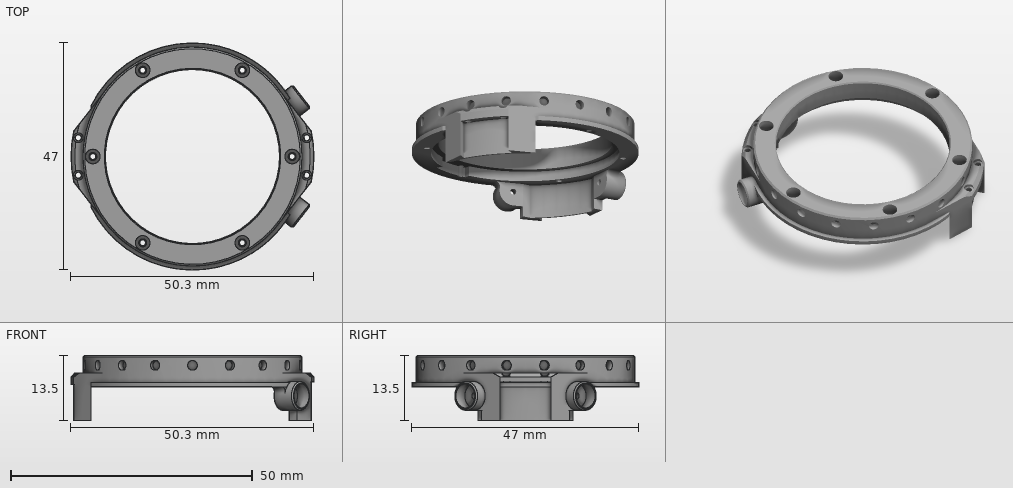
import cadquery as cq
import math

flange_bottom = 7.0
flange_top = 7.9
tab_top = 9.9
total_height = 13.5

ring_radius = 45.3 / 2
flange_radius = 46.95 / 2
bore_radius = 36.0 / 2
recess_radius = 39.05 / 2
recess_top = 9.05
rim_chamfer = 0.35
bore_chamfer = 0.25

pocket_radius = 20.85
pocket_start_angle = 56.6
pocket_end_angle = 81.4

screw_count = 6
screw_circle_radius = 20.6
screw_head_diameter = 3.0
screw_head_depth = 3.25
screw_seat_diameter = 1.65
screw_seat_depth = 0.5
screw_hole_diameter = 1.2

grip_hole_count = 18
grip_hole_diameter = 2.0
grip_hole_depth = 1.5
grip_hole_height = 11.45
grip_hole_first_angle = 10.0

tab_radius = 25.15
tab_chamfer_width = 0.8
tab_chamfer_height = 0.9
flank_angle = 38.0
flank_distance = 22.59
flank_back_distance = 20.55
leg_inner_radius = 22.6
groove_radius = 23.1
left_groove_top = 7.45
right_groove_top = 8.05
left_leg_inner_x = 20.95
right_leg_end = -6.15
right_wall_start_angle = 17.2
tab_hole_x = 23.6
tab_hole_y = 3.85
tab_hole_diameter = 1.25
tab_counterbore_diameter = 2.0
tab_counterbore_depth = 0.6

boss_diameter = 6.0
boss_offset = -4.05
boss_height = 5.15
boss_tip = 25.45
boss_chamfer = 0.3
boss_bore_diameter = 5.0
boss_bore_depth = 3.0
boss_pin_diameter = 1.25
boss_fillet = 1.0
neck_setback = 0.05

boss_radius = boss_diameter / 2
flank_cos = math.cos(math.radians(flank_angle))
flank_sin = math.sin(math.radians(flank_angle))


def flank_point(distance, along):
    """XY point in the frame of the +X +Y flank: distance out along its normal, then along its face."""
    return (distance * flank_cos - along * flank_sin, distance * flank_sin + along * flank_cos)


def mirrored_y(point):
    return (point[0], -point[1])


def disc(radius, bottom, top):
    return cq.Workplane("XY").workplane(offset=bottom).circle(radius).extrude(top - bottom)


def block(x_min, x_max, y_min, y_max, z_min, z_max):
    size = (x_max - x_min, y_max - y_min, z_max - z_min)
    return cq.Workplane("XY").box(*size, centered=False).translate((x_min, y_min, z_min))


def in_flank_frame(solid):
    """Turn a solid built with X as the flank normal into its place on the +X +Y flank."""
    return solid.rotate((0, 0, 0), (0, 0, 1), flank_angle)


def both_sides(solid):
    return solid.union(solid.mirror("XZ"))


tab_corner = flank_point(flank_distance, -math.sqrt(tab_radius**2 - flank_distance**2))
tab_half_width = tab_corner[1]
flank_root = flank_point(flank_distance, 0)


def tab_blank(bottom, top):
    """Tab outline on the +X side: two slanted flanks joined by an arc around the ring axis."""
    return (
        cq.Workplane("XY").workplane(offset=bottom)
        .moveTo(*flank_root)
        .lineTo(*tab_corner)
        .threePointArc((tab_radius, 0), mirrored_y(tab_corner))
        .lineTo(*mirrored_y(flank_root))
        .close()
        .extrude(top - bottom)
    )


def tab_cone():
    """Revolved envelope that bevels the top outer edge of the tab."""
    return (
        disc(tab_radius, 0, tab_top)
        .faces(">Z").edges()
        .chamfer(tab_chamfer_height, tab_chamfer_width)
    )


def groove(top):
    """Strap groove between the two halves of a leg, under the tab."""
    slot = block(0, tab_radius + 0.5, -tab_half_width, tab_half_width, 0, top)
    return slot.cut(disc(groove_radius, 0, top))


def tab_holes():
    centers = [(tab_hole_x, tab_hole_y), (tab_hole_x, -tab_hole_y)]
    holes = cq.Workplane("XY").pushPoints(centers).circle(tab_hole_diameter / 2).extrude(tab_top)
    counterbores = (
        cq.Workplane("XY").workplane(offset=tab_top - tab_counterbore_depth)
        .pushPoints(centers).circle(tab_counterbore_diameter / 2).extrude(tab_counterbore_depth)
    )
    return holes.union(counterbores).cut(disc(ring_radius, 0, tab_top))


def right_leg():
    """Curved wall on the +X side whose ends are thickened behind the flanks."""
    end_outer = flank_point(flank_distance, right_leg_end)
    end_inner = flank_point(flank_back_distance, right_leg_end)
    wall_angle = math.radians(right_wall_start_angle)
    wall_start = (leg_inner_radius * math.cos(wall_angle), leg_inner_radius * math.sin(wall_angle))
    return (
        cq.Workplane("XY")
        .moveTo(*end_outer)
        .lineTo(*end_inner)
        .lineTo(*wall_start)
        .threePointArc((leg_inner_radius, 0), mirrored_y(wall_start))
        .lineTo(*mirrored_y(end_inner))
        .lineTo(*mirrored_y(end_outer))
        .lineTo(*mirrored_y(tab_corner))
        .threePointArc((tab_radius, 0), tab_corner)
        .close()
        .extrude(flange_top)
    )


def left_leg():
    """Curved wall for the -X side, built on the +X side and mirrored later."""
    beyond = block(left_leg_inner_x, tab_radius, -tab_radius, tab_radius, 0, flange_top)
    return tab_blank(0, flange_top).intersect(beyond).cut(disc(leg_inner_radius, 0, flange_bottom))


def tab_with_leg(leg, groove_top):
    solid = tab_blank(flange_bottom, tab_top).union(leg).intersect(tab_cone())
    return solid.cut(groove(groove_top)).cut(tab_holes())


def flange():
    """Thin outer flange, trimmed flush with the -X leg and the +X flanks."""
    rim = disc(flange_radius, flange_bottom, flange_top)
    left_trim = block(-tab_radius, -left_leg_inner_x, -tab_radius, tab_radius, 0, total_height)
    right_trim = in_flank_frame(
        block(flank_distance, tab_radius, -tab_radius, boss_offset, 0, total_height)
    )
    return rim.cut(left_trim).cut(both_sides(right_trim))


def boss():
    """Pusher boss with its flat-backed housing, along the normal of the +X +Y flank."""
    barrel = (
        cq.Workplane("YZ", origin=(flank_back_distance, boss_offset, boss_height))
        .circle(boss_radius)
        .extrude(boss_tip - flank_back_distance)
        .faces(">X").edges().chamfer(boss_chamfer)
    )
    barrel = barrel.cut(
        block(0, flank_distance, -tab_radius, right_leg_end, 0, total_height)
    )
    housing = block(
        flank_back_distance, flank_distance, right_leg_end, boss_offset,
        boss_height - boss_radius, flange_top,
    )
    fillet_rise = flange_bottom - boss_fillet - boss_height
    fillet_reach = math.sqrt((boss_radius + boss_fillet) ** 2 - fillet_rise**2)
    blend = boss_radius / (boss_radius + boss_fillet)
    neck = (
        cq.Workplane("YZ", origin=(flank_back_distance, 0, 0))
        .moveTo(boss_offset, boss_height)
        .lineTo(boss_offset + fillet_reach * blend, boss_height + fillet_rise * blend)
        .radiusArc((boss_offset + fillet_reach, flange_bottom), boss_fillet)
        .lineTo(boss_offset, flange_bottom)
        .close()
        .extrude(boss_tip - flank_back_distance)
        .intersect(disc(flange_radius - neck_setback, 0, flange_bottom))
    )
    return in_flank_frame(barrel.union(housing).union(neck))


def boss_bore():
    face = cq.Workplane("YZ", origin=(boss_tip, boss_offset, boss_height))
    bore = face.circle(boss_bore_diameter / 2).extrude(-boss_bore_depth)
    pin_hole = face.circle(boss_pin_diameter / 2).extrude(flank_back_distance - boss_tip)
    return in_flank_frame(bore.union(pin_hole))


def ring():
    return disc(ring_radius, flange_bottom, total_height).faces(">Z").edges().chamfer(rim_chamfer)


def ring_bore():
    bore = disc(bore_radius, flange_bottom, total_height)
    recess = disc(recess_radius, flange_bottom, recess_top)
    lead_in = (
        cq.Workplane("XY").workplane(offset=total_height)
        .circle(bore_radius + bore_chamfer)
        .workplane(offset=-bore_chamfer)
        .circle(bore_radius)
        .loft()
    )
    return bore.union(recess).union(lead_in)


def recess_pocket():
    """Arc-shaped pocket that widens the lower recess on its +Y side."""
    sweep = pocket_end_angle - pocket_start_angle
    return (
        cq.Workplane("XZ")
        .moveTo(bore_radius, flange_bottom)
        .lineTo(pocket_radius, flange_bottom)
        .lineTo(pocket_radius, recess_top)
        .lineTo(bore_radius, recess_top)
        .close()
        .revolve(sweep, (0, 0, 0), (0, 1, 0))
        .rotate((0, 0, 0), (0, 0, 1), pocket_start_angle)
    )


def screw_holes():
    top = cq.Workplane("XY").workplane(offset=total_height)
    top = top.polarArray(screw_circle_radius, 0, 360, screw_count)
    heads = top.circle(screw_head_diameter / 2).extrude(-screw_head_depth)
    seats = top.circle(screw_seat_diameter / 2).extrude(-screw_head_depth - screw_seat_depth)
    holes = top.circle(screw_hole_diameter / 2).extrude(flange_bottom - total_height)
    return heads.union(seats).union(holes)


def grip_holes():
    hole = (
        cq.Workplane("YZ", origin=(ring_radius - grip_hole_depth, 0, grip_hole_height))
        .circle(grip_hole_diameter / 2)
        .extrude(grip_hole_depth + 0.5)
    )
    holes = cq.Workplane("XY")
    for index in range(grip_hole_count):
        angle = grip_hole_first_angle + index * 360 / grip_hole_count
        holes = holes.add(hole.rotate((0, 0, 0), (0, 0, 1), angle))
    return holes.combine()


body = ring().union(flange())
body = body.union(tab_with_leg(right_leg(), right_groove_top))
body = body.union(tab_with_leg(left_leg(), left_groove_top).mirror("YZ"))
body = body.union(both_sides(boss()))

result = (
    body.cut(ring_bore())
    .cut(recess_pocket())
    .cut(both_sides(boss_bore()))
    .cut(screw_holes())
    .cut(grip_holes())
)